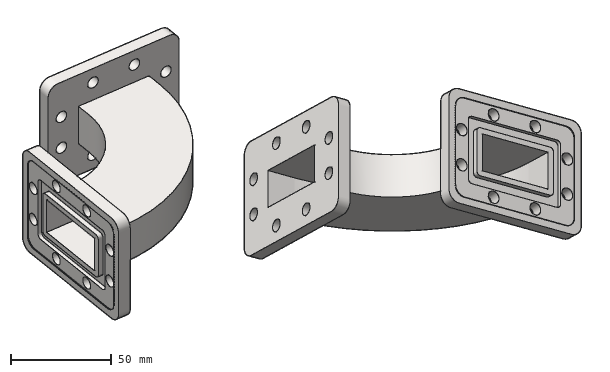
import cadquery as cq

overall = 120.5

flange_long = 81.0
flange_short = 61.9
flange_thick = 7.2
flange_corner_radius = 6.1

tube_wide = 43.6
tube_high = 23.0
bore_wide = 40.1
bore_high = 20.0
straight_length = 9.3
bend_angle = 90

bolt_diameter = 6.5
long_side_bolt_spacing = 25.5
long_side_bolt_offset = 22.3
short_side_bolt_spacing = 19.0
short_side_bolt_offset = 32.3

face_margin = 4.1
face_recess_depth = 0.6
face_corner_radius = 5.4
groove_long = 56.5
groove_short = 36.5
groove_corner_radius = 2.4
groove_depth = 2.9
lip_long = 46.8
lip_short = 26.0
lip_corner_radius = 2.0

axis_offset = overall - flange_long / 2
bend_start = flange_thick + straight_length
bend_radius = axis_offset - bend_start

y_end = cq.Plane(origin=(axis_offset, 0, 0), xDir=(1, 0, 0), normal=(0, 1, 0))
x_end = cq.Plane(origin=(0, axis_offset, 0), xDir=(0, 1, 0), normal=(1, 0, 0))


def rounded_block(plane, long_side, short_side, depth, radius):
    """Block with rounded corners, growing from a mating plane into the part."""
    outline = cq.Sketch().rect(long_side, short_side).vertices().fillet(radius)
    return cq.Workplane(plane).placeSketch(outline).extrude(depth)


def duct(wide, high):
    """Solid bar following the straight, bend, straight path between the mating planes."""
    path = (
        cq.Workplane("XZ", origin=(axis_offset, bend_start, 0))
        .rect(wide, high)
        .revolve(bend_angle, (-bend_radius, 0), (-bend_radius, 1))
    )
    for plane in (x_end, y_end):
        path = path.union(cq.Workplane(plane).rect(wide, high).extrude(bend_start))
    return path


def bolt_holes(plane):
    """Cutters for the eight bolt holes of one flange."""
    long_side_bolts = (long_side_bolt_spacing, 2 * long_side_bolt_offset)
    short_side_bolts = (2 * short_side_bolt_offset, short_side_bolt_spacing)
    holes = cq.Workplane(plane)
    for spacing in (long_side_bolts, short_side_bolts):
        corners = cq.Workplane(plane).rect(*spacing, forConstruction=True).vertices()
        holes = holes.add(corners.circle(bolt_diameter / 2).extrude(flange_thick))
    return holes.combine()


def flange(plane):
    """Plain flange plate with its bolt holes."""
    plate = rounded_block(plane, flange_long, flange_short, flange_thick, flange_corner_radius)
    return plate.cut(bolt_holes(plane))


def sealing_face():
    """Cutter for the shallow recess and the deeper groove around the full-height lip."""
    recess = rounded_block(
        y_end,
        flange_long - 2 * face_margin,
        flange_short - 2 * face_margin,
        face_recess_depth,
        face_corner_radius,
    )
    groove = rounded_block(y_end, groove_long, groove_short, groove_depth, groove_corner_radius)
    lip = rounded_block(y_end, lip_long, lip_short, groove_depth, lip_corner_radius)
    return recess.union(groove).cut(lip)


plain_end = flange(x_end)
sealing_end = flange(y_end)
body = duct(tube_wide, tube_high).union(plain_end).union(sealing_end)
result = body.cut(sealing_face()).cut(duct(bore_wide, bore_high))